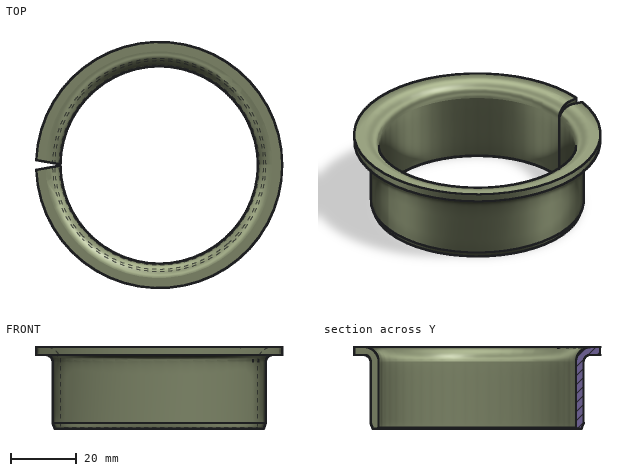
import cadquery as cq

flange_diameter = 75.0
total_height = 25.0
wall = 2.5
bore_diameter = 60.0
throat_radius = 4.5
neck_radius = throat_radius - wall
bore_chamfer = 0.5
chamfer_height = 1.8
chamfer_width = 0.7
slit_outer_width = 2.9
slit_inner_width = 0.3

flange_radius = flange_diameter / 2
bore_radius = bore_diameter / 2
sleeve_radius = bore_radius + wall
flange_bottom = total_height - wall


def flanged_sleeve():
    """Revolve the wall section of the sleeve and its flange about Z."""
    section = (
        cq.Workplane("XZ")
        .moveTo(bore_radius, bore_chamfer)
        .lineTo(bore_radius + bore_chamfer, 0)
        .lineTo(sleeve_radius - chamfer_width, 0)
        .lineTo(sleeve_radius, chamfer_height)
        .lineTo(sleeve_radius, flange_bottom - neck_radius)
        .radiusArc((sleeve_radius + neck_radius, flange_bottom), neck_radius)
        .lineTo(flange_radius, flange_bottom)
        .lineTo(flange_radius, total_height)
        .lineTo(bore_radius + throat_radius, total_height)
        .radiusArc((bore_radius, total_height - throat_radius), -throat_radius)
        .close()
    )
    return section.revolve(360, (0, 0, 0), (0, 1, 0))


def tapered_slit():
    """Full-height wedge on the -X side, narrowing from the rim to the bore."""
    taper = (slit_outer_width - slit_inner_width) / (flange_radius - bore_radius)
    clearance = 0.4
    outer_x = -flange_radius - clearance
    inner_x = -bore_radius + clearance
    outer_half = (slit_outer_width + taper * clearance) / 2
    inner_half = (slit_inner_width - taper * clearance) / 2
    corners = [
        (outer_x, -outer_half),
        (inner_x, -inner_half),
        (inner_x, inner_half),
        (outer_x, outer_half),
    ]
    return cq.Workplane("XY").polyline(corners).close().extrude(total_height)


result = flanged_sleeve().cut(tapered_slit())